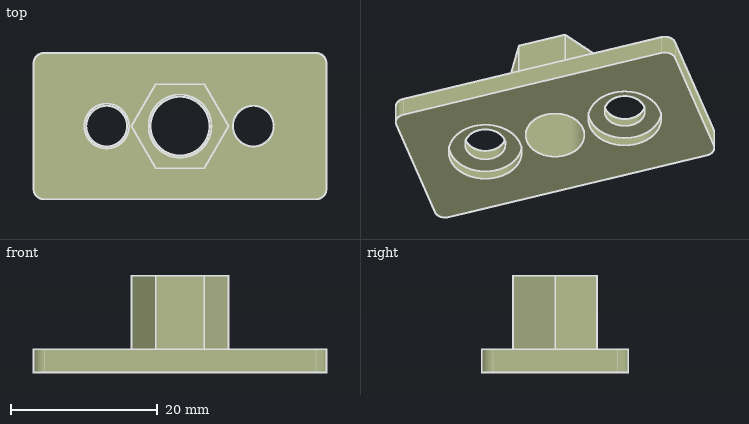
import cadquery as cq
import math

plate_length = 40.0
plate_width = 20.0
plate_thickness = 3.2
corner_radius = 1.5

boss_height = 10.0
boss_across_flats = 11.5
boss_across_corners = boss_across_flats / math.cos(math.pi / 6)
total_height = plate_thickness + boss_height

bore_diameter = 8.0
bore_chamfer = 0.3
screw_hole_diameter = 5.5
screw_hole_chamfer = 0.3
screw_hole_offset = 10.0
counterbore_diameter = 10.0
counterbore_depth = 1.5


def chamfered_hole_cutter(x, top, diameter, chamfer):
    """Through-hole from the plate underside to top, with an optional 45-degree chamfer at top."""
    radius = diameter / 2
    cutter = cq.Workplane("XY").center(x, 0).circle(radius).extrude(top)
    if chamfer > 0:
        cone = cq.Solid.makeCone(radius, radius + chamfer, chamfer, pnt=cq.Vector(x, 0, top - chamfer))
        cutter = cutter.union(cq.Workplane(cone))
    return cutter


def screw_hole_cutter(x, chamfer):
    """Screw hole through the plate with a counterbore for the screw head underneath."""
    counterbore = cq.Workplane("XY").center(x, 0).circle(counterbore_diameter / 2).extrude(counterbore_depth)
    return chamfered_hole_cutter(x, plate_thickness, screw_hole_diameter, chamfer).union(counterbore)


plate = (
    cq.Workplane("XY")
    .rect(plate_length, plate_width)
    .extrude(plate_thickness)
    .edges("|Z")
    .fillet(corner_radius)
)
boss = cq.Workplane("XY").polygon(6, boss_across_corners).extrude(total_height)

result = plate.union(boss)
result = result.cut(chamfered_hole_cutter(0, total_height, bore_diameter, bore_chamfer))

for x, chamfer in ((-screw_hole_offset, screw_hole_chamfer), (screw_hole_offset, 0)):
    result = result.cut(screw_hole_cutter(x, chamfer))